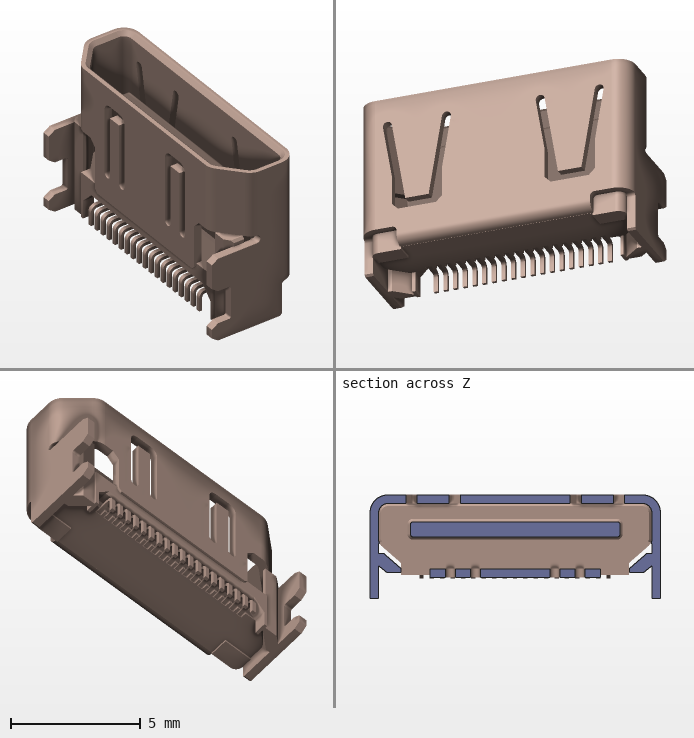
import cadquery as cq
import math


HALF_WIDTH = 5.6
SHELL_DEPTH = 3.2
TOP_Z = 7.1
WALL = 0.35
CORNER_RADIUS = 0.7
SIDE_CORNER_DEPTH = 2.05
FRONT_CORNER_X = 4.28
MOUTH_CHAMFER = 0.17
SHELL_BACK_Z = 1.56
INNER_HALF_WIDTH = HALF_WIDTH - WALL
FULL_WIDTH = 2 * HALF_WIDTH

SKIRT_Z = 4.15
SIDE_SLOT_Z = 3.8
SIDE_SLOT_DEPTH = 1.71
SIDE_SLOT_RADIUS = (SKIRT_Z - SIDE_SLOT_Z) / 2

FRONT_PLATE_HALF = 3.29
FRONT_PLATE_Z = 1.8
FRONT_PLATE_FLARE = 0.31
FRONT_PLATE_CHAMFER = 0.14

FRONT_SPRING_X = 2.01
FRONT_SPRING_WIDTH = 0.6
FRONT_SLOT_WIDTH = 0.36
FRONT_SLOT_BOTTOM = 2.89
FRONT_SLOT_TOP = 6.29
FRONT_SPRING_TIP = 5.76
FRONT_SLOT_CORNER = 0.34

BACK_SPRING_X = 3.16
BACK_SLOT_WIDTH = 0.37
BACK_SLOT_TOP = 6.11
BACK_SLOT_SPACING = 1.22
BACK_SLOT_SLOPE = 0.17
BACK_WINDOW_HALF = 1.04
BACK_WINDOW_BOTTOM = 2.3
BACK_WINDOW_TOP = 4.3
BACK_WINDOW_CORNER = 0.25
BACK_SPRING_TIP = 2.7

TAB_HALF = 4.0
TAB_THICKNESS = 0.39
TAB_BOTTOM = 0.82
TAB_FOLD_START = 1.24
TAB_ROOT_FILLET = 0.19

FOOT_DEPTH = 4.0
NOTCH_DEPTH = 3.11
LOWER_FOOT_TOP = 0.8
UPPER_FOOT_BOTTOM = 2.29
FOOT_CHAMFER_Y = 0.29
FOOT_CHAMFER_Z = 0.2
NOTCH_FILLET = 0.08
HEEL_CHAMFER = 0.08
HEEL_FILLET = 0.15

BLOCK_BOTTOM = 0.82
FLOOR_Z = 2.08
FLOOR_CHAMFER = 0.1
FLOOR_CHAMFER_END = 1.84
PAD_INNER_X = 3.96
PAD_BOTTOM = 0.72
PAD_LENGTH = 0.8

PANEL_DEPTH = 3.1
PANEL_HALF = 4.38
RECESS_WALL_DEPTH = 2.58
RECESS_HALF_BOTTOM = 4.24
RECESS_HALF_TOP = 3.7
RECESS_TOP = 1.27
RECESS_EDGE_CHAMFER = 0.11

COLUMN_TOP = 4.06
COLUMN_BACK = 2.25
COLUMN_FRONT = 3.0
COLUMN_INNER_DEPTH = 2.85
COLUMN_OUTER = 5.28
COLUMN_TOP_CHAMFER = 0.1
COLUMN_CHAMFER_X = 0.33
COLUMN_CHAMFER_Y = 0.27

TONGUE_HALF = 4.04
TONGUE_BACK = 1.04
TONGUE_FRONT = 1.64
TONGUE_TOP = 5.27
TONGUE_CORNER = 0.11
TONGUE_TOP_FILLET = 0.15
TONGUE_BASE_FLARE = 0.1

PIN_COUNT = 19
PIN_PITCH = 0.4
PIN_WIDTH = 0.17
PIN_THICKNESS = 0.14
PIN_BOTTOM = 0.1
PIN_TOP = 0.99
PIN_FRONT = 3.24
PIN_BEND = 0.28
PIN_SLOT_WIDTH = 0.27
PIN_EMBED = 0.5


def box(x0, x1, depth0, depth1, z0, z1):
    """Block between two X limits, two depths from the back (-Y) and two heights."""
    size = (x1 - x0, depth1 - depth0, z1 - z0)
    return cq.Workplane("XY").box(*size, centered=False).translate((x0, -depth1, z0))


def front_prism(outline, depth0, depth1):
    """Extrude an XZ sketch from depth0 to depth1; outline is a function of a workplane."""
    plane = cq.Workplane("XZ", origin=(0, -depth0, 0))
    return outline(plane).extrude(depth1 - depth0)


def both_sides(solid):
    """The solid together with its mirror image across X = 0."""
    return solid.union(solid.mirror("YZ"))


def shell_prism(offset, z0, z1):
    """Prism on the rounded D-shaped shell outline, moved inward by offset."""
    outline = [
        (-HALF_WIDTH, 0),
        (HALF_WIDTH, 0),
        (HALF_WIDTH, -SIDE_CORNER_DEPTH),
        (FRONT_CORNER_X, -SHELL_DEPTH),
        (-FRONT_CORNER_X, -SHELL_DEPTH),
        (-HALF_WIDTH, -SIDE_CORNER_DEPTH),
    ]
    prism = cq.Workplane("XY").polyline(outline).close().extrude(z1 - z0)
    prism = prism.edges("|Z").fillet(CORNER_RADIUS)
    if offset > 0:
        prism = prism.faces("<Z").wires().toPending().offset2D(-offset).extrude(z1 - z0, combine=False)
    base = prism.val().BoundingBox().zmin
    return prism.translate((0, 0, z0 - base))


def shell_body():
    """Tube with a chamfered mouth and the lower front cut away up to the side slots."""
    cavity = shell_prism(WALL, SHELL_BACK_Z, TOP_Z)
    tube = shell_prism(0, SHELL_BACK_Z, TOP_Z).cut(cavity)
    inner_mouth = cq.selectors.BoxSelector(
        (-HALF_WIDTH + WALL / 2, -SHELL_DEPTH + WALL / 2, TOP_Z - WALL / 2),
        (HALF_WIDTH - WALL / 2, -WALL / 2, TOP_Z + WALL / 2),
        boundingbox=True,
    )
    tube = tube.edges(inner_mouth).chamfer(MOUTH_CHAMFER)

    slot_axis = SIDE_SLOT_DEPTH + SIDE_SLOT_RADIUS
    slot_end = (
        cq.Workplane("YZ", origin=(-HALF_WIDTH, 0, 0))
        .center(-slot_axis, SIDE_SLOT_Z + SIDE_SLOT_RADIUS)
        .circle(SIDE_SLOT_RADIUS)
        .extrude(FULL_WIDTH)
    )
    lower_front = box(-HALF_WIDTH, HALF_WIDTH, slot_axis, FOOT_DEPTH, 0, SKIRT_Z)
    return tube.cut(lower_front).cut(slot_end)


def front_plate():
    """Plate hanging below the front wall, flared at its root and chamfered at its tip."""
    flare_x = FRONT_PLATE_HALF + FRONT_PLATE_FLARE
    right = [
        (flare_x, SKIRT_Z),
        (FRONT_PLATE_HALF, SKIRT_Z - FRONT_PLATE_FLARE),
        (FRONT_PLATE_HALF, FRONT_PLATE_Z + FRONT_PLATE_CHAMFER),
        (FRONT_PLATE_HALF - FRONT_PLATE_CHAMFER, FRONT_PLATE_Z),
    ]
    left = [(-x, z) for x, z in reversed(right)]
    return front_prism(lambda w: w.polyline(right + left).close(), SHELL_DEPTH - WALL, SHELL_DEPTH)


def front_spring_slot():
    """Inverted U slot that frees a spring finger in the front wall."""
    half_finger = FRONT_SPRING_WIDTH / 2
    half = half_finger + FRONT_SLOT_WIDTH
    end_radius = FRONT_SLOT_WIDTH / 2
    end_z = FRONT_SLOT_BOTTOM + end_radius
    depth0 = SHELL_DEPTH - WALL
    depth1 = SHELL_DEPTH
    slot = box(FRONT_SPRING_X - half, FRONT_SPRING_X + half, depth0, depth1, end_z, FRONT_SLOT_TOP)
    slot = slot.edges("|Y and >Z").fillet(FRONT_SLOT_CORNER)
    finger_x0 = FRONT_SPRING_X - half_finger
    finger_x1 = FRONT_SPRING_X + half_finger
    slot = slot.cut(box(finger_x0, finger_x1, depth0, depth1, end_z, FRONT_SPRING_TIP))
    for end_x in (finger_x0 - end_radius, finger_x1 + end_radius):
        round_end = front_prism(lambda w: w.center(end_x, end_z).circle(end_radius), depth0, depth1)
        slot = slot.union(round_end)
    return slot


def back_spring_slot():
    """Two converging slots that run into a window around the tip of a back spring finger."""
    half_slot = BACK_SLOT_WIDTH / 2
    top_axis_z = BACK_SLOT_TOP - half_slot
    angle = math.degrees(math.atan(BACK_SLOT_SLOPE))
    length = (top_axis_z - BACK_SPRING_TIP) / math.cos(math.radians(angle))

    finger_top = BACK_SLOT_SPACING - half_slot
    finger_tip = finger_top - BACK_SLOT_SLOPE * (top_axis_z - BACK_SPRING_TIP)
    finger_outline = [
        (BACK_SPRING_X - finger_top, top_axis_z),
        (BACK_SPRING_X + finger_top, top_axis_z),
        (BACK_SPRING_X + finger_tip, BACK_SPRING_TIP),
        (BACK_SPRING_X - finger_tip, BACK_SPRING_TIP),
    ]
    finger = front_prism(lambda w: w.polyline(finger_outline).close(), -WALL, 2 * WALL)

    opening = box(
        BACK_SPRING_X - BACK_WINDOW_HALF,
        BACK_SPRING_X + BACK_WINDOW_HALF,
        -WALL,
        2 * WALL,
        BACK_WINDOW_BOTTOM,
        BACK_WINDOW_TOP,
    )
    opening = opening.edges("|Y and <Z").chamfer(BACK_WINDOW_CORNER).cut(finger)
    for side in (-1, 1):
        top_axis_x = BACK_SPRING_X + side * BACK_SLOT_SPACING
        pivot = (top_axis_x, 0, top_axis_z)
        straight = box(
            top_axis_x - half_slot, top_axis_x + half_slot, -WALL, 2 * WALL, top_axis_z - length, top_axis_z
        )
        straight = straight.rotate(pivot, (top_axis_x, 1, top_axis_z), side * angle)
        round_end = front_prism(lambda w: w.center(top_axis_x, top_axis_z).circle(half_slot), -WALL, 2 * WALL)
        opening = opening.union(straight).union(round_end)
    return opening


def back_tab():
    """Tab below the back wall, filleted into the wall edge and rounded under its lower end."""
    root = TAB_HALF + TAB_ROOT_FILLET
    root_z = SHELL_BACK_Z - TAB_ROOT_FILLET

    def outline(plane):
        return (
            plane.moveTo(-root, SHELL_BACK_Z)
            .radiusArc((-TAB_HALF, root_z), TAB_ROOT_FILLET)
            .lineTo(-TAB_HALF, TAB_BOTTOM)
            .lineTo(TAB_HALF, TAB_BOTTOM)
            .lineTo(TAB_HALF, root_z)
            .radiusArc((root, SHELL_BACK_Z), TAB_ROOT_FILLET)
            .close()
        )

    fold = TAB_FOLD_START - TAB_BOTTOM
    bend = (
        cq.Workplane("YZ", origin=(-HALF_WIDTH, 0, 0))
        .moveTo(0, SHELL_BACK_Z)
        .lineTo(0, TAB_FOLD_START)
        .radiusArc((-fold, TAB_BOTTOM), fold)
        .lineTo(-fold, SHELL_BACK_Z)
        .close()
        .extrude(FULL_WIDTH)
    )
    return front_prism(outline, 0, TAB_THICKNESS).intersect(bend)


def side_plate():
    """Side wall below the slot, with two chamfered feet reaching forward to the board."""

    def foot(z0, z1):
        return [
            (-FOOT_DEPTH + FOOT_CHAMFER_Y, z0),
            (-FOOT_DEPTH, z0 + FOOT_CHAMFER_Z),
            (-FOOT_DEPTH, z1 - FOOT_CHAMFER_Z),
            (-FOOT_DEPTH + FOOT_CHAMFER_Y, z1),
        ]

    outline = [(-CORNER_RADIUS, HEEL_CHAMFER), (-CORNER_RADIUS - HEEL_CHAMFER, 0)]
    outline += foot(0, LOWER_FOOT_TOP)
    outline += [(-NOTCH_DEPTH, LOWER_FOOT_TOP), (-NOTCH_DEPTH, UPPER_FOOT_BOTTOM)]
    outline += foot(UPPER_FOOT_BOTTOM, SIDE_SLOT_Z)
    outline += [(-CORNER_RADIUS, SIDE_SLOT_Z)]
    plate = cq.Workplane("YZ", origin=(INNER_HALF_WIDTH, 0, 0)).polyline(outline).close().extrude(WALL)
    notch_corners = cq.selectors.BoxSelector(
        (INNER_HALF_WIDTH - WALL, -NOTCH_DEPTH - WALL / 2, LOWER_FOOT_TOP - WALL / 2),
        (HALF_WIDTH + WALL, -NOTCH_DEPTH + WALL / 2, UPPER_FOOT_BOTTOM + WALL / 2),
    )
    return plate.edges("|X").edges(notch_corners).fillet(NOTCH_FILLET)


def heel_fillet():
    """Fillets that lead the lower edge of the rounded shell corners into the side plates."""
    z0 = SHELL_BACK_Z - HEEL_FILLET
    corners = shell_prism(0, z0, SHELL_BACK_Z).cut(shell_prism(WALL, z0, SHELL_BACK_Z))
    web = (
        cq.Workplane("YZ", origin=(-HALF_WIDTH, 0, 0))
        .moveTo(-CORNER_RADIUS, SHELL_BACK_Z)
        .lineTo(-CORNER_RADIUS + HEEL_FILLET, SHELL_BACK_Z)
        .radiusArc((-CORNER_RADIUS, z0), -HEEL_FILLET)
        .close()
        .extrude(FULL_WIDTH)
    )
    return corners.intersect(web)


def insulator_block():
    """Block that closes the cavity, with its floor chamfered along the back and the sides."""
    plain = shell_prism(WALL, BLOCK_BOTTOM, FLOOR_Z)
    chamfered = plain.faces(">Z").edges().chamfer(FLOOR_CHAMFER)
    rear = box(-HALF_WIDTH, HALF_WIDTH, 0, FLOOR_CHAMFER_END, BLOCK_BOTTOM, FLOOR_Z)
    block = plain.cut(rear).union(chamfered.intersect(rear))
    pads = both_sides(box(PAD_INNER_X, HALF_WIDTH, 0, WALL + PAD_LENGTH, PAD_BOTTOM, FLOOR_Z))
    return block.union(pads.intersect(shell_prism(WALL, PAD_BOTTOM, BLOCK_BOTTOM)))


def front_panel():
    """Front panel of the insulator."""
    return box(-PANEL_HALF, PANEL_HALF, RECESS_WALL_DEPTH, PANEL_DEPTH, 0, FLOOR_Z)


def pin_recess():
    """Space for the pins under the panel: flared sides, chamfered ceiling edge, open below."""
    front_top = RECESS_TOP + RECESS_EDGE_CHAMFER
    outline = [
        (RECESS_HALF_BOTTOM, 0),
        (RECESS_HALF_BOTTOM, BLOCK_BOTTOM),
        (RECESS_HALF_TOP, front_top),
    ]
    outline += [(-x, z) for x, z in reversed(outline)]
    flared = front_prism(lambda w: w.polyline(outline).close(), RECESS_WALL_DEPTH, FOOT_DEPTH)
    ceiling = [
        (-RECESS_WALL_DEPTH, 0),
        (-RECESS_WALL_DEPTH, RECESS_TOP),
        (-PANEL_DEPTH + RECESS_EDGE_CHAMFER, RECESS_TOP),
        (-PANEL_DEPTH, front_top),
        (-PANEL_DEPTH, 0),
    ]
    chamfered = cq.Workplane("YZ", origin=(-HALF_WIDTH, 0, 0)).polyline(ceiling).close().extrude(FULL_WIDTH)
    return flared.intersect(chamfered)


def corner_column():
    """Insulator column behind the slanted shell corner, standing on the board."""
    slant = (SHELL_DEPTH - SIDE_CORNER_DEPTH) / (HALF_WIDTH - FRONT_CORNER_X)
    inner_x = PANEL_HALF + (COLUMN_INNER_DEPTH - COLUMN_BACK) / slant
    outline = [
        (COLUMN_OUTER, -COLUMN_BACK),
        (inner_x, -COLUMN_BACK),
        (PANEL_HALF, -COLUMN_INNER_DEPTH),
        (PANEL_HALF, -COLUMN_FRONT),
        (COLUMN_OUTER - COLUMN_CHAMFER_X, -COLUMN_FRONT),
        (COLUMN_OUTER, -COLUMN_FRONT + COLUMN_CHAMFER_Y),
    ]
    column = cq.Workplane("XY").polyline(outline).close().extrude(COLUMN_TOP)
    return column.faces(">X").edges(">Z").chamfer(COLUMN_TOP_CHAMFER)


def tongue():
    """Contact tongue on the cavity floor, rounded all over and flared at its base."""
    body = box(-TONGUE_HALF, TONGUE_HALF, TONGUE_BACK, TONGUE_FRONT, FLOOR_Z, TONGUE_TOP)
    body = body.faces(">Z").edges().fillet(TONGUE_TOP_FILLET)
    body = body.edges("|Z").fillet(TONGUE_CORNER)
    flare = TONGUE_BASE_FLARE
    base = box(
        -TONGUE_HALF - flare,
        TONGUE_HALF + flare,
        TONGUE_BACK - flare,
        TONGUE_FRONT + flare,
        BLOCK_BOTTOM,
        FLOOR_Z + flare,
    )
    base = base.edges("|Z").fillet(TONGUE_CORNER + flare)
    base = base.faces(">Z").edges().chamfer(flare)
    return body.union(base)


def pin():
    """Pin that leaves the insulator forward and bends down to the board, centred on X = 0."""
    inner_bend = PIN_BEND - PIN_THICKNESS
    root = -RECESS_WALL_DEPTH + PIN_EMBED
    return (
        cq.Workplane("YZ", origin=(-PIN_WIDTH / 2, 0, 0))
        .moveTo(root, PIN_TOP)
        .lineTo(-PIN_FRONT + PIN_BEND, PIN_TOP)
        .radiusArc((-PIN_FRONT, PIN_TOP - PIN_BEND), -PIN_BEND)
        .lineTo(-PIN_FRONT, PIN_BOTTOM)
        .lineTo(-PIN_FRONT + PIN_THICKNESS, PIN_BOTTOM)
        .lineTo(-PIN_FRONT + PIN_THICKNESS, PIN_TOP - PIN_BEND)
        .radiusArc((-PIN_FRONT + PIN_BEND, PIN_TOP - PIN_THICKNESS), inner_bend)
        .lineTo(root, PIN_TOP - PIN_THICKNESS)
        .close()
        .extrude(PIN_WIDTH)
    )


def pin_slot():
    """Clearance slot around a pin where it leaves the recess wall."""
    half = PIN_SLOT_WIDTH / 2
    return box(-half, half, RECESS_WALL_DEPTH - PIN_EMBED / 2, RECESS_WALL_DEPTH, 0, PIN_TOP)


def build():
    shell = shell_body().union(front_plate())
    shell = shell.cut(both_sides(front_spring_slot())).cut(both_sides(back_spring_slot()))
    shell = shell.union(back_tab()).union(both_sides(side_plate())).union(heel_fillet())

    insulator = insulator_block().union(front_panel()).cut(pin_recess())
    insulator = insulator.union(both_sides(corner_column())).union(tongue())
    pin_positions = [(i - (PIN_COUNT - 1) / 2) * PIN_PITCH for i in range(PIN_COUNT)]
    for x in pin_positions:
        insulator = insulator.cut(pin_slot().translate((x, 0, 0)))
    part = insulator.union(shell)
    for x in pin_positions:
        part = part.union(pin().translate((x, 0, 0)))
    return part


result = build()